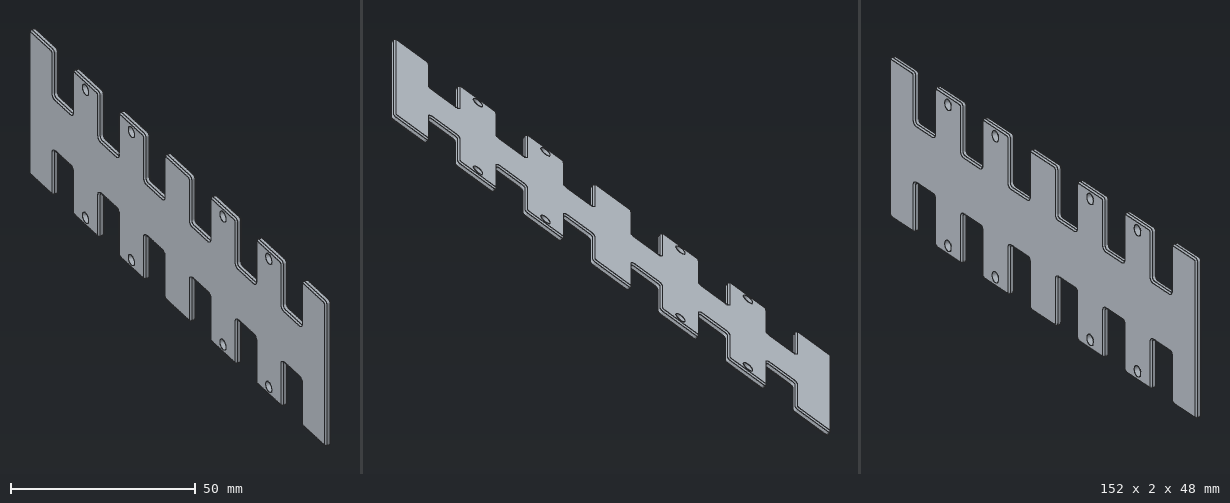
import cadquery as cq

length = 152.0
thickness = 2.0
height = 48.0
edge_chamfer = 0.49
corner_radius = 1.0

slot_count = 6
slot_width = 10.0
end_finger_width = 12.3
web_height = 17.6

hole_diameter = 3.2
hole_edge_distance = 2.9
holed_fingers = (-2, -1, 1, 2)

slot_pitch = (length - 2 * end_finger_width - slot_width) / (slot_count - 1)
slot_depth = (height - web_height) / 2
slot_center_z = (web_height + slot_depth) / 2
hole_z = height / 2 - hole_edge_distance


def plate_blank():
    return cq.Workplane("XZ").rect(length, height).extrude(thickness / 2, both=True)


def slot_cutters():
    """Rectangular slots open at the top and bottom edges of the plate."""
    first_slot_x = -(slot_count - 1) / 2 * slot_pitch
    slot_x = [first_slot_x + i * slot_pitch for i in range(slot_count)]
    slot_points = [(x, side * slot_center_z) for x in slot_x for side in (-1, 1)]
    return cq.Workplane("XZ").pushPoints(slot_points).rect(slot_width, slot_depth).extrude(thickness, both=True)


def hole_cutters():
    hole_points = [(i * slot_pitch, side * hole_z) for i in holed_fingers for side in (-1, 1)]
    return cq.Workplane("XZ").pushPoints(hole_points).circle(hole_diameter / 2).extrude(thickness, both=True)


slotted_plate = plate_blank().cut(slot_cutters())
rounded_plate = slotted_plate.edges("|Y").fillet(corner_radius)
beveled_plate = rounded_plate.faces("<Y or >Y").edges().chamfer(edge_chamfer)
result = beveled_plate.cut(hole_cutters())